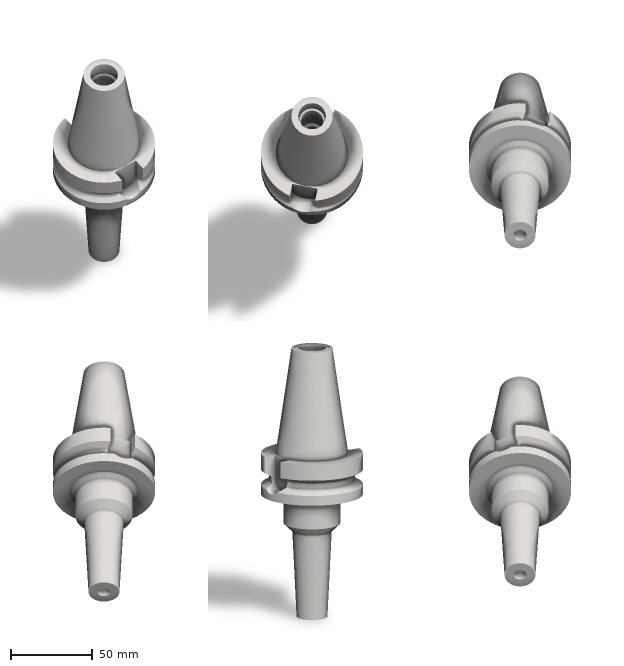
import cadquery as cq

total_height = 170.4
taper_length = 65.5
gauge_z = total_height - taper_length
collar_height = 1.0
flange_top_z = gauge_z - collar_height
flange_bottom_z = gauge_z - 27.1
upper_rim_height = 10.2
lower_rim_height = 6.1
groove_bevel_height = 2.9
shoulder_bevel = 3.0
body_bottom_z = gauge_z - 45.5
nose_bevel_height = 5.3

taper_slope = 7 / 24
gauge_diameter = 44.5
taper_top_diameter = gauge_diameter - taper_slope * taper_length
flange_diameter = 63.0
groove_diameter = 52.8
body_diameter = 35.3
nose_top_diameter = 24.4
nose_bottom_diameter = 19.0

slot_width = 16.0
slot_bottom_z = gauge_z - 23.0
slot_floor_x = 22.5

entry_diameter = 17.0
entry_depth = 9.0
thread_diameter = 14.0
thread_depth = 32.0
clearance_diameter = 9.9
tool_bore_diameter = 8.0
tool_bore_length = 40.9


def make_body():
    """Turned outer shape, revolved about Z."""
    flange_radius = flange_diameter / 2
    groove_radius = groove_diameter / 2
    body_radius = body_diameter / 2
    upper_rim_bottom_z = flange_top_z - upper_rim_height
    lower_rim_top_z = flange_bottom_z + lower_rim_height
    outline = [
        (0, 0),
        (nose_bottom_diameter / 2, 0),
        (nose_top_diameter / 2, body_bottom_z - nose_bevel_height),
        (body_radius, body_bottom_z),
        (body_radius, flange_bottom_z - shoulder_bevel),
        (body_radius + shoulder_bevel, flange_bottom_z),
        (flange_radius, flange_bottom_z),
        (flange_radius, lower_rim_top_z),
        (groove_radius, lower_rim_top_z + groove_bevel_height),
        (groove_radius, upper_rim_bottom_z - groove_bevel_height),
        (flange_radius, upper_rim_bottom_z),
        (flange_radius, flange_top_z),
        (gauge_diameter / 2, flange_top_z),
        (gauge_diameter / 2, gauge_z),
        (taper_top_diameter / 2, total_height),
        (0, total_height),
    ]
    return cq.Workplane("XZ").polyline(outline).close().revolve(360, (0, 0), (0, 1))


def make_drive_slot(side):
    """Round-bottomed slot cutter on one side: -1 for -X, +1 for +X."""
    half_width = slot_width / 2
    arc_center_z = slot_bottom_z + half_width
    return (
        cq.Workplane("YZ", origin=(side * slot_floor_x, 0, 0))
        .moveTo(-half_width, gauge_z)
        .lineTo(-half_width, arc_center_z)
        .threePointArc((0, slot_bottom_z), (half_width, arc_center_z))
        .lineTo(half_width, gauge_z)
        .close()
        .extrude(side * flange_diameter / 2)
    )


def make_bore(diameter, bottom_z, top_z):
    """Cylindrical cutter on the axis between two heights."""
    return cq.Workplane("XY", origin=(0, 0, bottom_z)).circle(diameter / 2).extrude(top_z - bottom_z)


result = make_body()

for slot_side in (-1, 1):
    result = result.cut(make_drive_slot(slot_side))

for bore_diameter, bore_bottom_z in (
    (entry_diameter, total_height - entry_depth),
    (thread_diameter, total_height - thread_depth),
    (clearance_diameter, tool_bore_length),
    (tool_bore_diameter, 0),
):
    result = result.cut(make_bore(bore_diameter, bore_bottom_z, total_height))